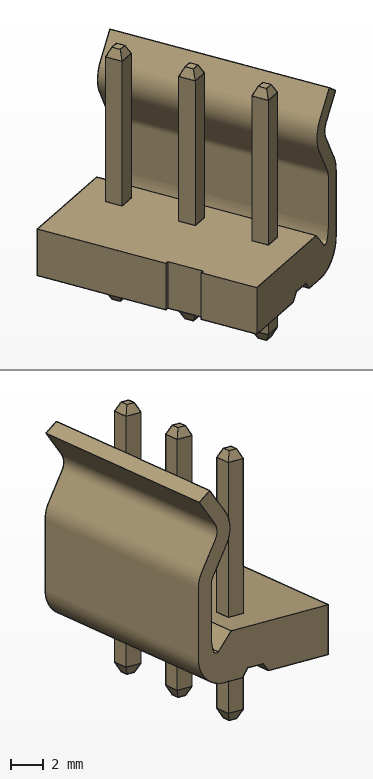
import cadquery as cq
import math

pin_count = 3
width = 15.25
pitch = width / pin_count
depth = 10.0
base_height = 3.24
heel_radius = 1.96

pin_size = 1.15
pin_y = 5.6
pin_length = 17.5
pin_bottom = -3.6
tip_height = 0.61
tip_size = 0.58

groove_depth = 0.55
groove_top = 1.19
groove_bottom = 2.0

notch_width = 2.45
notch_depth = 0.25
notch_x = pitch / 2

latch_thickness = 1.0
bend_inner = latch_thickness
bend_outer = bend_inner + latch_thickness
lean_angle = 29.0
lip_angle = 36.0
lower_bend_z = 6.58
lean_length = 2.17
lip_length = 2.0

valley_edge_y = 7.47
valley_start = (depth - latch_thickness, 3.1)
valley_wall_middle = (8.95, 2.62)
valley_wall_end = (8.84, 2.25)
valley_floor = (8.65, 2.06)
valley_end = (8.45, 2.1)


def polar(center, radius, angle):
    """Point at an angle, measured from +Y towards +Z."""
    turn = math.radians(angle)
    return (center[0] + radius * math.cos(turn), center[1] + radius * math.sin(turn))


def make_housing():
    """Extrude the YZ outline of the base and latch across the full width."""
    lower_center = (depth - bend_outer, lower_bend_z)
    lean_start = polar(lower_center, bend_inner + bend_outer, lean_angle)
    upper_center = polar(lean_start, lean_length, lean_angle + 90)

    bend_start = 180 + lean_angle
    bend_end = 180 - lip_angle
    bend_middle = (bend_start + bend_end) / 2
    lip_direction = 90 - lip_angle
    front_lip_start = polar(upper_center, bend_outer, bend_end)
    back_lip_start = polar(upper_center, bend_inner, bend_end)
    heel_center = (depth - heel_radius, heel_radius)

    outline = (
        cq.Workplane("YZ", origin=(-width / 2, 0, 0))
        .moveTo(0, 0)
        .lineTo(0, base_height)
        .lineTo(valley_edge_y, base_height)
        .lineTo(*valley_end)
        .threePointArc(valley_floor, valley_wall_end)
        .threePointArc(valley_wall_middle, valley_start)
        .lineTo(*polar(lower_center, bend_inner, 0))
        .threePointArc(
            polar(lower_center, bend_inner, lean_angle / 2),
            polar(lower_center, bend_inner, lean_angle),
        )
        .lineTo(*polar(upper_center, bend_outer, bend_start))
        .threePointArc(polar(upper_center, bend_outer, bend_middle), front_lip_start)
        .lineTo(*polar(front_lip_start, lip_length, lip_direction))
        .lineTo(*polar(back_lip_start, lip_length, lip_direction))
        .lineTo(*back_lip_start)
        .threePointArc(
            polar(upper_center, bend_inner, bend_middle),
            polar(upper_center, bend_inner, bend_start),
        )
        .lineTo(*polar(lower_center, bend_outer, lean_angle))
        .threePointArc(
            polar(lower_center, bend_outer, lean_angle / 2),
            polar(lower_center, bend_outer, 0),
        )
        .lineTo(depth, heel_radius)
        .threePointArc(polar(heel_center, heel_radius, -45), (depth - heel_radius, 0))
        .close()
    )
    return outline.extrude(width)


def make_groove():
    """Trapezoidal channel, wider at the underside."""
    return (
        cq.Workplane("YZ", origin=(-width / 2, pin_y, 0))
        .polyline([
            (-groove_bottom / 2, 0),
            (groove_bottom / 2, 0),
            (groove_top / 2, groove_depth),
            (-groove_top / 2, groove_depth),
        ])
        .close()
        .extrude(width)
    )


def make_notch():
    """Shallow key slot over the full height of the base."""
    return (
        cq.Workplane("XY")
        .center(notch_x, 0)
        .rect(notch_width, 2 * notch_depth)
        .extrude(base_height)
    )


def make_pin(x):
    """Square pin tapered at both ends."""
    pin_top = pin_bottom + pin_length
    shaft_bottom = pin_bottom + tip_height
    shaft_top = pin_top - tip_height
    shaft = (
        cq.Workplane("XY", origin=(x, pin_y, shaft_bottom))
        .rect(pin_size, pin_size)
        .extrude(shaft_top - shaft_bottom)
    )
    for base_z, end_z in ((shaft_bottom, pin_bottom), (shaft_top, pin_top)):
        tip = (
            cq.Workplane("XY", origin=(x, pin_y, base_z))
            .rect(pin_size, pin_size)
            .workplane(offset=end_z - base_z)
            .rect(tip_size, tip_size)
            .loft(ruled=True)
        )
        shaft = shaft.union(tip)
    return shaft


result = make_housing().cut(make_groove()).cut(make_notch())
for index in range(pin_count):
    pin_x = (index - (pin_count - 1) / 2) * pitch
    result = result.union(make_pin(pin_x))